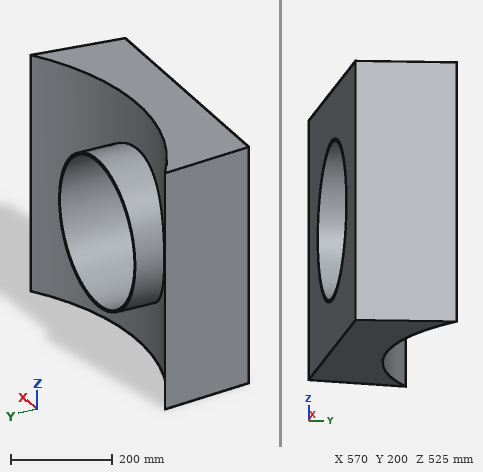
import cadquery as cq

top_width = 570.0
base_width = 525.0
height = 525.0
depth = 200.0
tip_setback = 1.0
saddle_depth = 91.0

sleeve_outer_diameter = 324.0
sleeve_wall = 4.0

front_y = -depth / 2
back_y = depth / 2
tip_y = back_y - tip_setback


def sleeve_cylinder(diameter):
    """Cylinder along Y, from the front face over the full depth."""
    return cq.Workplane("XZ", origin=(0, front_y, 0)).circle(diameter / 2).extrude(-depth)


def make_block():
    """Tapered block with a concave back and a round hole for the sleeve."""
    outline = (
        cq.Workplane("XY", origin=(0, 0, -height / 2))
        .moveTo(-base_width / 2, front_y)
        .lineTo(base_width / 2, front_y)
        .lineTo(top_width / 2, tip_y)
        .threePointArc((0, back_y - saddle_depth), (-top_width / 2, tip_y))
        .close()
    )
    return outline.extrude(height).cut(sleeve_cylinder(sleeve_outer_diameter))


def make_sleeve():
    """Thin straight tube that fills the hole and stands out of the concave back."""
    bore = sleeve_cylinder(sleeve_outer_diameter - 2 * sleeve_wall)
    return sleeve_cylinder(sleeve_outer_diameter).cut(bore)


block = make_block()
sleeve = make_sleeve()

result = cq.Compound.makeCompound([block.val(), sleeve.val()])